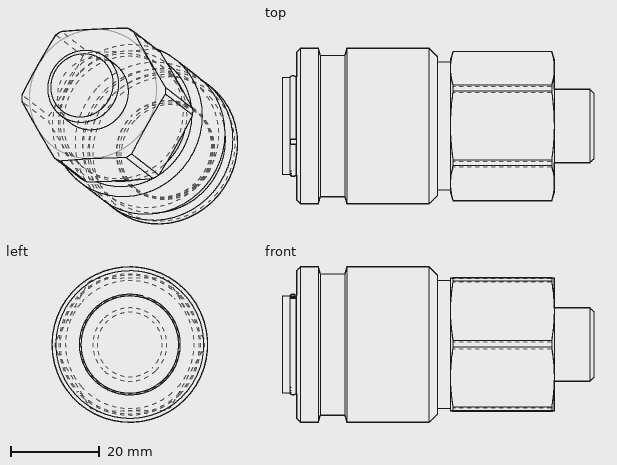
import cadquery as cq
import math

length = 70.5

plug_radius = 22.0 / 2
collar_radius = 22.3 / 2

ring_start = 1.7
ring_end = 3.05
ring_outer_radius = 22.8 / 2
ring_gap_width = 1.2
ring_gap_tilt = 18.4

sleeve_radius = 35.2 / 2
sleeve_start = 3.25
sleeve_end = 35.1
front_chamfer = 0.9
back_chamfer = 1.9
waist_radius = 32.0 / 2
waist_start = 8.6
waist_end = 14.15
waist_flank_length = 0.45

neck_radius = 29.0 / 2

hex_start = 38.0
hex_end = 61.5
hex_across_flats = 30.0
hex_corner_radius = 33.8 / 2
hex_face_radius = 29.9 / 2
hex_cone_length = 0.6
hex_tilt = -0.7

stub_radius = 16.66 / 2
stub_chamfer = 1.0


def turned(sketch):
    """Revolve an (x, radius) outline about the X axis."""
    return sketch.close().revolve(360, (0, 0, 0), (1, 0, 0))


def make_body():
    """Plug, collar, snap ring, sleeve and neck as one turned solid."""
    ring_middle = (ring_start + ring_end) / 2
    return turned(
        cq.Workplane("XY")
        .moveTo(0, 0)
        .lineTo(0, plug_radius)
        .lineTo(ring_start, plug_radius)
        .threePointArc((ring_middle, ring_outer_radius), (ring_end, collar_radius))
        .lineTo(sleeve_start, collar_radius)
        .lineTo(sleeve_start, sleeve_radius - front_chamfer)
        .lineTo(sleeve_start + front_chamfer, sleeve_radius)
        .lineTo(waist_start - waist_flank_length, sleeve_radius)
        .lineTo(waist_start, waist_radius)
        .lineTo(waist_end, waist_radius)
        .lineTo(waist_end + waist_flank_length, sleeve_radius)
        .lineTo(sleeve_end - back_chamfer, sleeve_radius)
        .lineTo(sleeve_end, sleeve_radius - back_chamfer)
        .lineTo(sleeve_end, neck_radius)
        .lineTo(hex_start, neck_radius)
        .lineTo(hex_start, 0)
    )


def make_ring_gap():
    """Cutter that opens the snap ring down to the collar surface."""
    slot = (
        cq.Workplane("XY")
        .rect(2 * sleeve_start, ring_gap_width)
        .extrude(sleeve_radius)
        .rotate((0, 0, 0), (1, 0, 0), ring_gap_tilt)
    )
    collar = cq.Workplane("YZ").circle(collar_radius).extrude(sleeve_start)
    return slot.cut(collar)


def make_hexagon():
    """Hexagonal prism trimmed by a turned blank that rounds its corners and cones its ends."""
    prism = (
        cq.Workplane("YZ")
        .workplane(offset=hex_start)
        .polygon(6, hex_across_flats / math.cos(math.radians(30)))
        .extrude(hex_end - hex_start)
        .rotate((0, 0, 0), (1, 0, 0), hex_tilt)
    )
    blank = turned(
        cq.Workplane("XY")
        .moveTo(hex_start, 0)
        .lineTo(hex_start, hex_face_radius)
        .lineTo(hex_start + hex_cone_length, hex_corner_radius)
        .lineTo(hex_end - hex_cone_length, hex_corner_radius)
        .lineTo(hex_end, hex_face_radius)
        .lineTo(hex_end, 0)
    )
    return prism.intersect(blank)


def make_stub():
    """Plain cylindrical stub with a chamfered end."""
    return (
        cq.Workplane("YZ")
        .workplane(offset=hex_end)
        .circle(stub_radius)
        .extrude(length - hex_end)
        .faces(">X")
        .chamfer(stub_chamfer)
    )


result = make_body().cut(make_ring_gap()).union(make_hexagon()).union(make_stub())